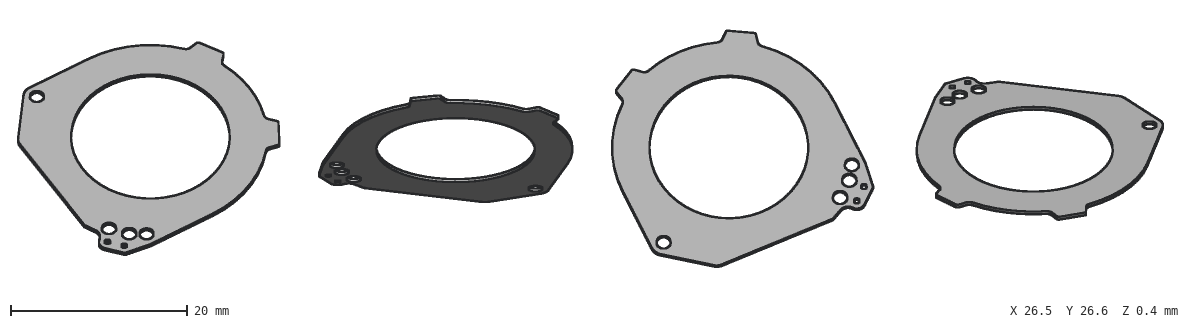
import cadquery as cq
import math

thickness = 0.4
overall_length = 26.6
rim_radius = 13.25
bore_radius = 9.0
bottom_y = -13.15

left_corner_y = -8.62
left_corner_x = -7.37
left_corner_fillet = 1.5

tab_tilt = 30
tab_tip_half_width = 1.68
tab_root_distance = 11.7
tab_flare = 18
tab_tip_fillet = 0.3
tab_root_fillet = 0.7

right_taper_y = -8.28
pin_holes = [(10.35, -12.21), (11.85, -10.9)]
pin_hole_diameter = 0.65
ear_radius = 0.98
ear_corner_x = 12.8

notch_radius = 1.06
notch_top_y = -12.37
notch_start_x = 6.95

tab_top_y = overall_length + pin_holes[0][1] - ear_radius
tip_arc_offset = tab_tip_half_width - tab_tip_fillet * math.tan(math.radians((90 - tab_flare) / 2))
tip_arc_rise = tip_arc_offset * math.sin(math.radians(tab_tilt))
tip_arc_distance = (tab_top_y - tab_tip_fillet - tip_arc_rise) / math.cos(math.radians(tab_tilt))
tab_tip_distance = tip_arc_distance + tab_tip_fillet

side_hole_x = 11.74
side_hole_y = -7.85
side_hole_diameter = 1.6
inner_holes = [(10.67, -9.5), (8.8, -11.05)]
inner_hole_diameter = 1.65


def on_circle(center, radius, angle):
    """Point on a circle at an angle in radians from +X."""
    return (center[0] + radius * math.cos(angle), center[1] + radius * math.sin(angle))


def make_body():
    ear_center = pin_holes[0]
    pin_slope = math.atan2(pin_holes[1][1] - ear_center[1], pin_holes[1][0] - ear_center[0])
    ear_start = on_circle(ear_center, ear_radius, pin_slope - math.pi / 2)
    ear_corner = (ear_corner_x, ear_start[1] + (ear_corner_x - ear_start[0]) * math.tan(pin_slope))

    notch_center_y = notch_top_y - notch_radius
    center_drop = ear_center[1] - notch_center_y
    center_run = math.sqrt((ear_radius + notch_radius) ** 2 - center_drop**2)
    notch_center = (ear_center[0] - center_run, notch_center_y)
    ear_end = on_circle(ear_center, ear_radius, math.atan2(-center_drop, -center_run))
    ear_bottom = (ear_center[0], ear_center[1] - ear_radius)
    notch_top = (notch_center[0], notch_top_y)

    run = notch_start_x - notch_center[0]
    rise = bottom_y - notch_center[1]
    tangent_angle = math.atan2(rise, run) - math.acos(notch_radius / math.hypot(run, rise))
    notch_end = on_circle(notch_center, notch_radius, tangent_angle)

    body = (
        cq.Workplane("XY")
        .moveTo(-rim_radius, 0)
        .threePointArc((0, rim_radius), (rim_radius, 0))
        .lineTo(rim_radius, right_taper_y)
        .lineTo(*ear_corner)
        .lineTo(*ear_start)
        .threePointArc(ear_bottom, ear_end)
        .threePointArc(notch_top, notch_end)
        .lineTo(notch_start_x, bottom_y)
        .lineTo(left_corner_x, bottom_y)
        .lineTo(-rim_radius, left_corner_y)
        .close()
        .extrude(thickness)
    )
    for corner in [(left_corner_x, bottom_y), (-rim_radius, left_corner_y)]:
        body = fillet_corner(body, corner, left_corner_fillet)
    return body


def fillet_corner(body, corner, radius):
    """Round the upright edge nearest to a corner of the outline."""
    edge_middle = (corner[0], corner[1], thickness / 2)
    return body.edges("|Z").edges(cq.NearestToPointSelector(edge_middle)).fillet(radius)


def add_tab(body, tilt):
    spread = math.tan(math.radians(tab_flare))
    root_half_width = tab_tip_half_width + (tab_tip_distance - tab_root_distance) * spread
    tab = (
        cq.Workplane("XY")
        .polyline([
            (-root_half_width, tab_root_distance),
            (-tab_tip_half_width, tab_tip_distance),
            (tab_tip_half_width, tab_tip_distance),
            (root_half_width, tab_root_distance),
        ])
        .close()
        .extrude(thickness)
        .rotate((0, 0, 0), (0, 0, 1), tilt)
    )
    body = body.union(tab)

    side_offset = tab_tip_half_width + tab_tip_distance * spread
    foot_distance = side_offset * math.cos(math.radians(tab_flare))
    root_angle = math.radians(tab_flare) + math.acos(foot_distance / rim_radius)
    tip_radius = math.hypot(tab_tip_half_width, tab_tip_distance)
    tip_angle = math.atan2(tab_tip_distance, tab_tip_half_width)
    turn = math.radians(tilt)
    for distance, angle, fillet in [
        (rim_radius, root_angle, tab_root_fillet),
        (tip_radius, tip_angle, tab_tip_fillet),
    ]:
        for side_angle in [angle, math.pi - angle]:
            body = fillet_corner(body, on_circle((0, 0), distance, side_angle + turn), fillet)
    return body


def cut_holes(body, centers, diameter):
    holes = cq.Workplane("XY").pushPoints(centers).circle(diameter / 2).extrude(thickness)
    return body.cut(holes)


result = make_body()
for tilt in [-tab_tilt, tab_tilt]:
    result = add_tab(result, tilt)

result = cut_holes(result, [(0, 0)], 2 * bore_radius)
side_holes = [(-side_hole_x, side_hole_y), (side_hole_x, side_hole_y)]
result = cut_holes(result, side_holes, side_hole_diameter)
result = cut_holes(result, inner_holes, inner_hole_diameter)
result = cut_holes(result, pin_holes, pin_hole_diameter)